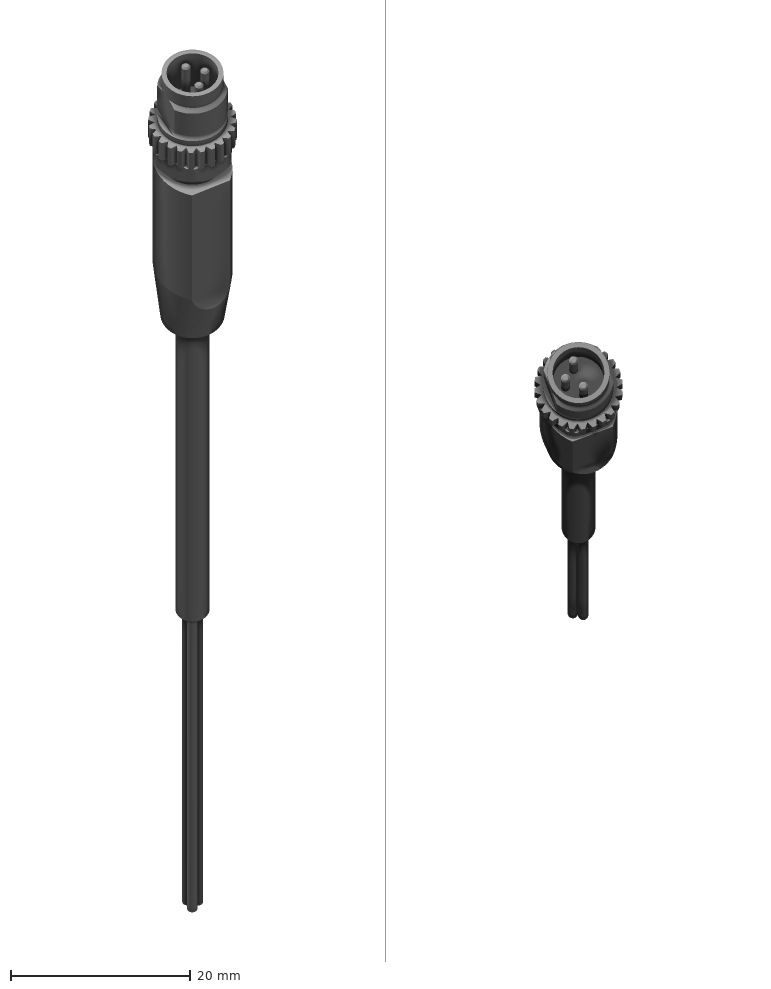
import cadquery as cq
import math

total_height = 141.0
cable_bottom = 50.0
boot_bottom = 100.1
grip_bottom = 108.1
grip_top = 125.9
nut_bottom = 127.2
ring_bottom = 130.1
ring_top = 133.1
collar_top = 134.0
groove_level = 134.4
plug_bottom = 134.8
plug_top = 138.6
lip_bottom = 139.0

lip_radius = 6.9 / 2
plug_radius = 7.9 / 2
flats_distance = 6.8
neck_radius = 3.4
cup_radius = 5.8 / 2
cup_depth = 5.6
pin_radius = 1.0 / 2
pin_recess = 0.3
pin_tip_chamfer = 0.21
pin_circle_radius = 1.5
pin_angles = (0, 90, 180)

ring_radius = 5.0
knurl_count = 24
knurl_width = 0.8
knurl_depth = 0.7
nut_across_flats = 8.7
nut_corner_radius = 4.8
nut_chamfer_height = 0.8
nut_chamfer_width = 0.5

grip_half_width = 4.4
grip_crown = 4.2
seam_half_depth = 2.4
boot_bulge = 5.4
boot_end_radius = 7.2 / 2
finger_rest_radius = 4.2

cable_radius = 3.8 / 2
wire_radius = 1.15 / 2
wire_circle_radius = 0.68
wire_angles = (90, 210, 330)


def cylinder(radius, bottom, top):
    return cq.Workplane("XY", origin=(0, 0, bottom)).circle(radius).extrude(top - bottom)


def polar_points(radius, angles):
    return [(radius * math.cos(math.radians(a)), radius * math.sin(math.radians(a))) for a in angles]


def turned_core():
    """Neck, collar, grooved plug and lip as one turned shape."""
    profile = [
        (0, grip_top),
        (neck_radius, grip_top),
        (neck_radius, nut_bottom),
        (plug_radius, nut_bottom),
        (plug_radius, collar_top),
        (lip_radius, groove_level),
        (plug_radius, plug_bottom),
        (plug_radius, plug_top),
        (lip_radius, lip_bottom),
        (lip_radius, total_height),
        (0, total_height),
    ]
    return cq.Workplane("XZ").polyline(profile).close().revolve(360, (0, 0, 0), (0, 1, 0))


def plug():
    """Turned core with flats on both Y sides and the pin cup in its end."""
    flat_offset = flats_distance / 2
    body = turned_core()
    for side in (-1, 1):
        flat_cutter = (
            cq.Workplane("XY", origin=(0, side * (flat_offset + plug_radius / 2), collar_top))
            .rect(2 * plug_radius, plug_radius)
            .extrude(lip_bottom - collar_top)
        )
        body = body.cut(flat_cutter)
    cup_floor = total_height - cup_depth
    body = body.cut(cylinder(cup_radius, cup_floor, total_height))
    pins = (
        cq.Workplane("XY", origin=(0, 0, cup_floor))
        .pushPoints(polar_points(pin_circle_radius, pin_angles))
        .circle(pin_radius)
        .extrude(cup_depth - pin_recess)
        .faces(">Z")
        .chamfer(pin_tip_chamfer)
    )
    return body.union(pins)


def knurled_ring():
    """Ring with V grooves along its full height."""
    pitch = 360 / knurl_count
    groove = (
        cq.Workplane("XY", origin=(0, 0, ring_bottom))
        .moveTo(ring_radius - knurl_depth, 0)
        .lineTo(ring_radius + knurl_depth, knurl_width)
        .lineTo(ring_radius + knurl_depth, -knurl_width)
        .close()
        .extrude(ring_top - ring_bottom)
    )
    ring = cylinder(ring_radius, ring_bottom, ring_top)
    for i in range(knurl_count):
        ring = ring.cut(groove.rotate((0, 0, 0), (0, 0, 1), (i + 0.5) * pitch))
    return ring


def hex_nut():
    """Hexagon with flats on the X sides, rounded corners and a lower chamfer."""
    corner_diameter = nut_across_flats / math.cos(math.radians(30))
    hexagon = (
        cq.Workplane("XY", origin=(0, 0, nut_bottom))
        .transformed(rotate=(0, 0, 30))
        .polygon(6, corner_diameter)
        .extrude(ring_bottom - nut_bottom)
    )
    blank = cylinder(nut_corner_radius, nut_bottom, ring_bottom)
    blank = blank.faces("<Z").chamfer(nut_chamfer_height, nut_chamfer_width)
    return hexagon.intersect(blank)


def grip():
    w, d = grip_half_width, seam_half_depth
    return (
        cq.Workplane("XY", origin=(0, 0, grip_bottom))
        .moveTo(w, -d)
        .lineTo(w, d)
        .threePointArc((0, grip_crown), (-w, d))
        .lineTo(-w, -d)
        .threePointArc((0, -grip_crown), (w, -d))
        .close()
        .extrude(grip_top - grip_bottom)
    )


def boot_outline(plane, half_width, crown, bulge):
    """Four arcs meeting at the seams, where |Y| is seam_half_depth."""
    w, d = half_width, seam_half_depth
    return (
        plane.moveTo(w, -d)
        .threePointArc((bulge, 0), (w, d))
        .threePointArc((0, crown), (-w, d))
        .threePointArc((-bulge, 0), (-w, -d))
        .threePointArc((0, -crown), (w, -d))
        .close()
    )


def boot():
    """Taper from the bulged grip outline to a circle, with scooped upper sides."""
    height = grip_bottom - boot_bottom
    end_half_width = math.sqrt(boot_end_radius**2 - seam_half_depth**2)
    lower = boot_outline(
        cq.Workplane("XY", origin=(0, 0, boot_bottom)), end_half_width, boot_end_radius, boot_end_radius
    )
    upper = lower.workplane(offset=height)
    body = boot_outline(upper, grip_half_width, grip_crown, boot_bulge).loft(ruled=True)
    for side in (-1, 1):
        axis_x = side * (grip_half_width + finger_rest_radius)
        scoop = (
            cq.Workplane("XZ", origin=(axis_x, 0, grip_bottom))
            .transformed(rotate=(0, 0, 90))
            .circle(finger_rest_radius)
            .extrude(grip_crown, both=True)
        )
        body = body.cut(scoop)
    return body


def wires():
    return (
        cq.Workplane("XY")
        .pushPoints(polar_points(wire_circle_radius, wire_angles))
        .circle(wire_radius)
        .extrude(cable_bottom)
    )


result = (
    plug()
    .union(knurled_ring())
    .union(hex_nut())
    .union(grip())
    .union(boot())
    .union(cylinder(cable_radius, cable_bottom, boot_bottom))
    .union(wires())
)